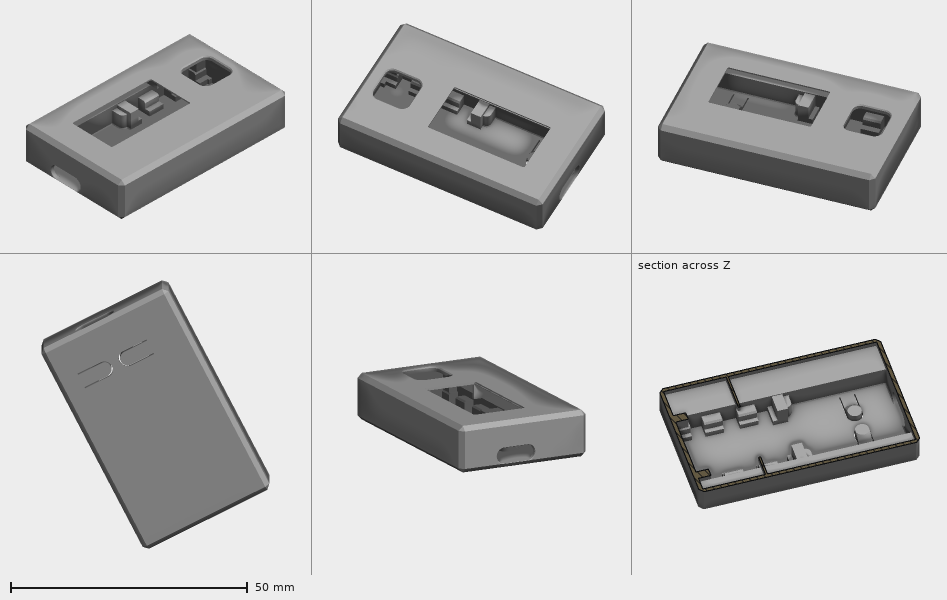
import cadquery as cq
case_width = 30.1
case_length = 48.9
case_height = 10.22
edge_chamfer = 1.0
seam_z = 5.5
floor_z = 1.0
lid_plate = 1.0
plate_z = case_height - lid_plate
case_wall = 0.95
end_y = case_length / 2 - case_wall
lid_half_width = case_width / 2 - case_wall

board_x = -1.95
pocket_half_width = 9.18
floor_chamfer = 0.2
inner_fillet = 0.25

foot_z = 2.25
rail_z = 4.1
right_foot_half_gap = 6.05
left_foot_half_gap = 5.65
rail_half_gap = 7.0
rail_lead_in = 0.37
rail_length = 4.05
last_rail_y = 20.3
rail_spans = ((5.6, 5.6 + rail_length), (13.2, 13.2 + rail_length), (last_rail_y, end_y))
end_foot_half_gap = 5.25
end_foot_depth = 0.9

stop_half_gap = 4.95
stop_z = 5.28
stop_front_y = -0.61
stop_back_y = 1.72
stop_foot_back_y = 2.7
corner_half_gap = 6.1
corner_front_y = -1.95
corner_radius = 1.1
corner_z = 4.45

tab_y = -14.63
tab_half_spacing = 2.7
tab_radius = 1.5
tab_slit = 0.28
tab_length = 5.5
cone_top_z = 2.3
cone_height = cone_top_z - floor_z

socket_width = 9.0
socket_height = 3.45
socket_chamfer = 0.1
socket_z = floor_z + socket_height / 2

button_y = 16.75
button_size = 9.0
button_corner = 2.0
button_chamfer = 0.25

window_left = -7.95
window_right = 4.15
window_front = -16.8
window_back = 6.3
window_corner = 0.375
lip_z = case_height - 0.35
recess_margin = 1.5
ledge_width = 0.15
ledge_depth = 0.2

rib_half_gap = 7.2
rib_front_y = 9.2
rib_thickness = 0.55
post_front_y = 20.75


def box(x0, x1, y0, y1, z0, z1):
    size = (x1 - x0, y1 - y0, z1 - z0)
    return cq.Workplane("XY").box(*size, centered=False).translate((x0, y0, z0))


def board_box(inner, outer, y0, y1, z0, z1):
    """Box between two X distances from the middle of the board, on its +X side."""
    return box(board_x + inner, board_x + outer, y0, y1, z0, z1)


def mirror_image(shape):
    return shape.mirror("YZ", (board_x, 0, 0))


def both_sides(shape):
    return shape.union(mirror_image(shape))


def outer_case(z0, z1):
    """Slice of the chamfered outer block between two heights."""
    block = cq.Workplane("XY").box(case_width, case_length, case_height, centered=(True, True, False))
    block = block.edges().chamfer(edge_chamfer)
    return block.intersect(box(-case_width, case_width, -case_length, case_length, z0, z1))




def rail(y0, y1, foot_half_gap):
    inner_x = board_x + foot_half_gap
    edge_x = board_x + rail_half_gap
    outer_x = board_x + pocket_half_width
    profile = [
        (inner_x, floor_z),
        (inner_x, foot_z),
        (edge_x, foot_z),
        (edge_x, rail_z - rail_lead_in),
        (edge_x + rail_lead_in, rail_z),
        (outer_x, rail_z),
        (outer_x, floor_z),
    ]
    section = cq.Workplane("XZ", origin=(0, y0, 0)).polyline(profile).close()
    return section.extrude(y0 - y1)


def rail_set(foot_half_gap):
    """All the rails of the +X side, with a foot along the end wall."""
    rails = board_box(end_foot_half_gap, pocket_half_width, end_y - end_foot_depth, end_y, floor_z, foot_z)
    for y0, y1 in rail_spans:
        rails = rails.union(rail(y0, y1, foot_half_gap))
    return rails


def stop():
    """Tall stop for the end of the board, with a low foot behind it."""
    tall = board_box(stop_half_gap, pocket_half_width, stop_front_y, stop_back_y, floor_z, stop_z)
    foot = board_box(stop_half_gap, pocket_half_width, stop_front_y, stop_foot_back_y, floor_z, foot_z)
    return tall.union(foot)


def front_pocket():
    """Space in front of the stops, necked between the corner blocks and chamfered at the floor."""
    half = pocket_half_width
    pocket = board_box(-half, half, -end_y, corner_front_y, floor_z, seam_z)
    neck = board_box(-corner_half_gap, corner_half_gap, corner_front_y, stop_front_y, floor_z, seam_z)
    pocket = pocket.union(neck)
    pocket = pocket.edges("|Z").edges("not (>Y or >X or <X)").fillet(corner_radius)
    pocket = pocket.edges("|Z and (>Y or >X or <X)").fillet(inner_fillet)
    pocket = pocket.faces("<Z").chamfer(floor_chamfer)
    above_corners = board_box(-half, half, corner_front_y - inner_fillet, stop_front_y, corner_z, seam_z)
    return pocket.union(above_corners)


def rear_pocket():
    """Space around the board, less the rails and stops, open to the front between the stops."""
    half = pocket_half_width
    pocket = board_box(-half, half, stop_front_y, end_y, floor_z, seam_z)
    pocket = pocket.cut(rail_set(right_foot_half_gap))
    pocket = pocket.cut(mirror_image(rail_set(left_foot_half_gap)))
    pocket = pocket.cut(both_sides(stop()))
    passage_front_y = stop_front_y - floor_chamfer
    passage = board_box(-stop_half_gap, stop_half_gap, passage_front_y, stop_back_y, floor_z, seam_z)
    return pocket.union(passage)


def tab_strip(radius, height):
    """Strip running toward +X from a round end centred on the origin."""
    round_end = cq.Workplane("XY").circle(radius).extrude(height)
    return round_end.union(box(0, tab_length, -radius, radius, 0, height))


def tab_slit_cut():
    slit = tab_strip(tab_radius + tab_slit, floor_z).cut(tab_strip(tab_radius, floor_z))
    return slit.translate((board_x + tab_half_spacing, tab_y, 0))


def tab_cone():
    """45 degree cone on a tab, trimmed flush with the tab's edges."""
    base_circle = cq.Workplane("XY").circle(tab_radius + cone_height)
    cone = base_circle.workplane(offset=cone_height).circle(tab_radius).loft()
    cone = cone.intersect(tab_strip(tab_radius, cone_height))
    return cone.translate((board_x + tab_half_spacing, tab_y, floor_z))


def socket_opening():
    front = cq.Workplane("XZ", origin=(board_x, -case_length / 2, socket_z))
    opening = front.slot2D(socket_width, socket_height).extrude(-case_wall - floor_chamfer)
    rim_width = socket_width + 2 * socket_chamfer
    rim_height = socket_height + 2 * socket_chamfer
    rim = front.slot2D(rim_width, rim_height).extrude(socket_chamfer, both=True)
    return opening.union(rim.faces(">Y").chamfer(socket_chamfer))


def build_base():
    body = outer_case(0, seam_z)
    body = body.cut(front_pocket()).cut(rear_pocket())
    body = body.cut(both_sides(tab_slit_cut()))
    body = body.union(both_sides(tab_cone()))
    return body.cut(socket_opening())




def rounded_square(size, corner, z0, z1):
    half = size / 2
    plug = box(board_x - half, board_x + half, button_y - half, button_y + half, z0, z1)
    return plug.edges("|Z").fillet(corner)


def button_opening():
    """Rounded square hole with a chamfered rim."""
    hole_size = button_size - 2 * button_chamfer
    hole = rounded_square(hole_size, button_corner - button_chamfer, plate_z, case_height)
    rim_bottom_z = case_height - button_chamfer
    rim = rounded_square(button_size, button_corner, rim_bottom_z, case_height + button_chamfer)
    return hole.union(rim.faces("<Z").chamfer(button_chamfer))


def window_opening():
    window = box(window_left, window_right, window_front, window_back, plate_z, case_height)
    window = window.edges("|Z").fillet(window_corner)
    recess_right = window_right + recess_margin
    recess_front = window_front - recess_margin
    recess_back = window_back + recess_margin
    recess = box(window_left - recess_margin, recess_right, recess_front, recess_back, plate_z, lip_z)
    ledge_left = window_right - ledge_width
    ledge = box(ledge_left, recess_right, recess_front, recess_back, lip_z - ledge_depth, lip_z)
    return window.union(recess).cut(ledge)


def cross_ribs():
    """Ribs across the lid behind the window, one from each side wall, open in the middle."""
    rib_back_y = rib_front_y + rib_thickness
    ribs = box(-lid_half_width, lid_half_width, rib_front_y, rib_back_y, seam_z, plate_z)
    return ribs.cut(board_box(-rib_half_gap, rib_half_gap, rib_front_y, rib_back_y, seam_z, plate_z))


def corner_post():
    """Post standing on the last rail in the base."""
    return board_box(rib_half_gap, pocket_half_width, post_front_y, end_y, rail_z, plate_z)


def build_lid():
    body = outer_case(seam_z, case_height)
    body = body.cut(box(-lid_half_width, lid_half_width, -end_y, end_y, seam_z, plate_z))
    body = body.union(cross_ribs()).union(both_sides(corner_post()))
    return body.cut(button_opening()).cut(window_opening())


base = build_base()
lid = build_lid()
result = cq.Compound.makeCompound([base.val(), lid.val()])